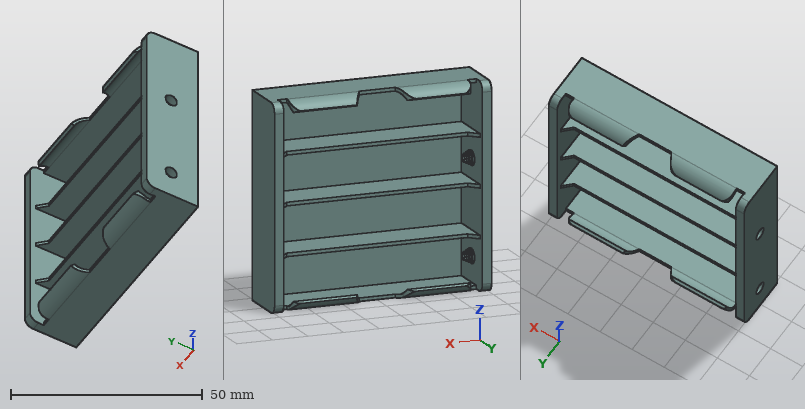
import cadquery as cq
import math

length = 60.95
depth = 15.7
height = 56.9
half_height = height / 2

end_wall = 2.6
side_wall = 1.0
floor = 1.0
corner_radius = 2.5

rim = 11.5
tab_radius = 4.9
tab_end = 5.05
tab_gap = 10.0
tab_slant = 60.0
tab_outer_round = 2.5
tab_inner_round = 3.65

row_count = 4
divider_thickness = 1.0
brace_rise = 2.5

hole_diameter = 3.5
hole_depth_position = 8.2
hole_heights = (-20.1, 6.4)
spring_wire = 0.5
spring_base_radius = 1.95
spring_tip_radius = 0.75
spring_length = 2.45
spring_turns = 3


def box(x_range, y_range, z_range):
    """Box spanning the given lower and upper limits on each axis."""
    spans = [high - low for low, high in (x_range, y_range, z_range)]
    corner = (x_range[0], y_range[0], z_range[0])
    return cq.Workplane("XY").box(*spans, centered=False).translate(corner)


def make_tray():
    """Floor, two full-depth end walls and two side walls that stop at the rim."""
    outer_z = (-half_height, half_height)
    inner_x = (end_wall, length - end_wall)
    inner_z = (side_wall - half_height, half_height - side_wall)
    tray = box((0, length), (0, depth), outer_z).edges("|X and >Y").fillet(corner_radius)
    tray = tray.cut(box(inner_x, (floor, depth), inner_z))
    return tray.cut(box(inner_x, (rim, depth), outer_z))


def make_tab_strip():
    """Curled strip above the +Z side wall, as thick as the wall and running the whole length."""
    sweep = math.asin((depth - rim) / tab_radius)
    inner_radius = tab_radius - side_wall

    def arc_point(radius, angle):
        y = rim + radius * math.sin(angle)
        z = half_height - tab_radius + radius * math.cos(angle)
        return (y, z)

    return (
        cq.Workplane("YZ")
        .moveTo(*arc_point(tab_radius, 0))
        .threePointArc(arc_point(tab_radius, sweep / 2), arc_point(tab_radius, sweep))
        .lineTo(*arc_point(inner_radius, sweep))
        .threePointArc(arc_point(inner_radius, sweep / 2), arc_point(inner_radius, 0))
        .close()
        .extrude(length)
    )


def make_tab_outline():
    """Prism along Z with the left tab's outline: rounded outer corner and slanted inner end."""
    foot = (length - tab_gap) / 2
    slant_run = (depth - rim) / math.tan(math.radians(tab_slant))
    return (
        cq.Workplane("XY", origin=(0, 0, -half_height))
        .polyline([(tab_end, rim), (foot, rim), (foot - slant_run, depth), (tab_end, depth)])
        .close()
        .extrude(height)
        .edges("|Z and >Y and <X")
        .fillet(tab_outer_round)
    )


def make_tabs():
    """Two tabs on each side wall; only the left ones have a rounded inner corner."""
    outline = make_tab_outline()
    left = outline.faces(">Y").edges("|Z and >X").fillet(tab_inner_round)
    right = outline.mirror("YZ").translate((length, 0, 0))
    upper = make_tab_strip().intersect(left.union(right))
    return upper.union(upper.mirror("XY"))


def make_divider(z):
    """Low wall between two cell rows, braced at 45 degrees to both end walls."""
    far = length - end_wall
    return (
        cq.Workplane("XY", origin=(0, 0, z - divider_thickness / 2))
        .moveTo(end_wall, 0)
        .lineTo(end_wall, rim + brace_rise)
        .lineTo(end_wall + brace_rise, rim)
        .lineTo(far - brace_rise, rim)
        .lineTo(far, rim + brace_rise)
        .lineTo(far, 0)
        .close()
        .extrude(divider_thickness)
    )


def make_spring(z):
    """Conical coil standing on the inner face of the -X end wall, narrowing toward +X."""
    taper = math.degrees(math.atan((spring_base_radius - spring_tip_radius) / spring_length))
    path = cq.Wire.makeHelix(
        spring_length / spring_turns,
        spring_length,
        spring_base_radius,
        angle=-taper,
    )
    coil = (
        cq.Workplane("XZ", origin=(spring_base_radius, 0, 0))
        .circle(spring_wire / 2)
        .sweep(cq.Workplane(path), isFrenet=True)
    )
    coil = coil.rotate((0, 0, 0), (0, 1, 0), 90)
    return coil.translate((end_wall, hole_depth_position, z))


result = make_tray().union(make_tabs())

row_pitch = (height - 2 * side_wall) / row_count
for row in range(1, row_count):
    result = result.union(make_divider(row * row_pitch + side_wall - half_height))

for z in hole_heights:
    hole = cq.Workplane("YZ").center(hole_depth_position, z).circle(hole_diameter / 2).extrude(end_wall)
    result = result.cut(hole).union(make_spring(z))